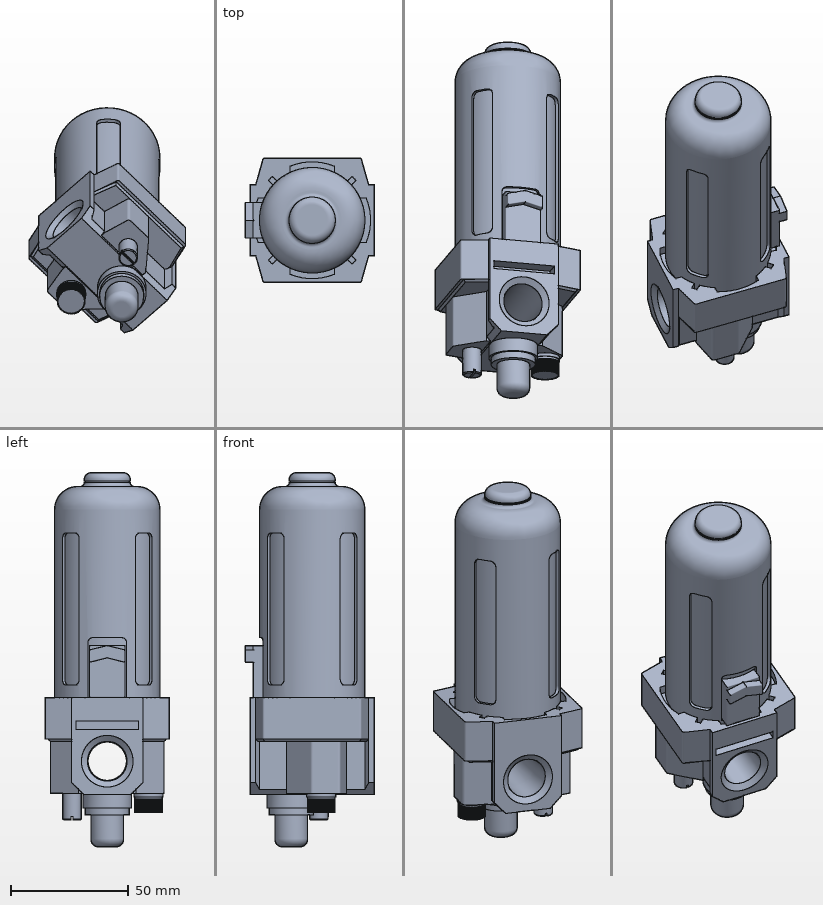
import cadquery as cq
import math


HOUSING_HEIGHT = 41.4
HOUSING_HALF_LENGTH = 26.5
FLANGE_BOTTOM = 23.6
FLANGE_HALF_DEPTH = 26.5
FLANGE_HALF_FLAT = 21.0
FLANGE_CORNER_RADIUS = 1.0
RIM_HEIGHT = 1.0
PORT_PLATE_HALF_WIDTH = 15.2
PORT_PLATE_INNER_X = 24.1
PORT_PLATE_CHAMFER = 5.1
WAIST_HALF_LENGTH = 22.5
WAIST_HALF_DEPTH = 12.3
BOSS_HALF_DEPTH = 24.3
BOSS_BOTTOM = 0.5
BOSS_ROOT_X = (-10.9, 14.7)
BOSS_TIP_X = (-0.2, 12.0)
BOSS_CORNER_RADIUS = 1.3
RIM_HALF_DEPTH = BOSS_HALF_DEPTH + RIM_HEIGHT

PORT_Z = 14.2
PORT_RADIUS = 8.1
PORT_THREAD_RADIUS = 8.5
PORT_THREAD_DEPTH = 16.0
PORT_MOUTH_RADIUS = 11.0
PORT_MOUTH_DEPTH = 1.9
GROOVE_Z = (27.8, 31.3)
GROOVE_HALF_WIDTH = 13.4
GROOVE_DEPTH = 7.2

GUARD_RADIUS = 22.5
GUARD_WALL = 1.5
BOWL_RADIUS = GUARD_RADIUS - GUARD_WALL
SOCKET_DEPTH = 4.0
SOCKET_FLOOR = HOUSING_HEIGHT - SOCKET_DEPTH
SHOULDER_Z = HOUSING_HEIGHT + 90.0
DOME_RADIUS = 9.9
NECK_RADIUS = 9.9
NECK_FLARE = 1.6
NECK_TOP = SHOULDER_Z + NECK_FLARE

LUG_POCKET_RADIUS = 24.9
LUG_POCKET_WIDTH = 18.8
NOTCH_RADIUS = 25.2
NOTCH_WIDTH = 2.4

WINDOW_WIDTH = 10.0
WINDOW_BOTTOM = HOUSING_HEIGHT + 5.3
WINDOW_TOP = HOUSING_HEIGHT + 70.3
WINDOW_CORNER_RADIUS = 2.5
OPENING_WIDTH = 16.5
OPENING_TOP = HOUSING_HEIGHT + 25.5
OPENING_CORNER_RADIUS = 2.0

LATCH_WIDTH = 15.3
LATCH_FACE_X = -25.2
LATCH_TOP = HOUSING_HEIGHT + 22.2
LIP_FACE_X = -28.6
LIP_HEIGHT = 5.3
LATCH_EDGE_RADIUS = 0.3
LIP_DROP = 1.9

BUTTON_TOP = HOUSING_HEIGHT + 96.0
BUTTON_FILLET = 3.2
BUTTON_STEM_RADIUS = 9.5
BUTTON_GAP = 0.6

SIGHT_X = -9.0
SIGHT_RADIUS = 7.0
SIGHT_BOTTOM = -22.4
SIGHT_FILLET = 3.4
COLLAR_RADIUS = 10.4
COLLAR_BOTTOM = -5.7
COLLAR_STEP_RADIUS = 9.5
COLLAR_STEP_BOTTOM = -8.6

PLUG_X = 3.8
PLUG_Y = -17.5
PLUG_RIM_RADIUS = 6.2
PLUG_RIM_BOTTOM = -1.0
PLUG_SEAT_RADIUS = 5.9
KNURL_TOP = -1.9
KNURL_BOTTOM = -7.7
KNURL_RADIUS = 5.9
KNURL_DEPTH = 0.3
KNURL_TEETH = 60

PIN_X = 2.9
PIN_Y = 15.0
PIN_RADIUS = 4.0
PIN_BOTTOM = -10.9
PIN_CHAMFER = 0.5
PIN_SLOT_WIDTH = 0.8
PIN_SLOT_DEPTH = 1.5


def cylinder(radius, bottom, top, x=0, y=0):
    """Vertical cylinder between two heights."""
    return cq.Workplane("XY", origin=(x, y, bottom)).circle(radius).extrude(top - bottom)


def span_box(x_span, y_span, z_span):
    """Box given by its limits along each axis."""
    size = [end - start for start, end in (x_span, y_span, z_span)]
    corner = (x_span[0], y_span[0], z_span[0])
    return cq.Workplane("XY", origin=corner).box(*size, centered=False)


def mirrored_outline(quarter):
    """Close an outline from its points in the +X +Y quarter, given from the X side to the Y side."""
    upper = quarter + [(-x, y) for x, y in reversed(quarter)]
    return upper + [(-x, -y) for x, y in upper]



def flange_sketch(half_depth, z):
    """Outline with slanted sides that run from the port plates to a flat front and back."""
    outline = mirrored_outline([
        (PORT_PLATE_INNER_X, PORT_PLATE_HALF_WIDTH),
        (FLANGE_HALF_FLAT, half_depth),
    ])
    return cq.Workplane("XY", origin=(0, 0, z)).polyline(outline).close()


def make_flange():
    """Wide flange that carries the bowl, with a thin 45 degree rim under it."""
    flange = flange_sketch(FLANGE_HALF_DEPTH, FLANGE_BOTTOM).extrude(HOUSING_HEIGHT - FLANGE_BOTTOM)
    flange = flange.faces(">Y or <Y").edges("|Z").fillet(FLANGE_CORNER_RADIUS)
    rim = flange_sketch(RIM_HALF_DEPTH, FLANGE_BOTTOM).extrude(-RIM_HEIGHT, taper=45)
    return flange.union(rim)


def make_waist():
    """Port plates at both ends joined by a narrower web, bevelled along the bottom."""
    outline = mirrored_outline([
        (HOUSING_HALF_LENGTH, PORT_PLATE_HALF_WIDTH),
        (PORT_PLATE_INNER_X, PORT_PLATE_HALF_WIDTH),
        (WAIST_HALF_LENGTH, WAIST_HALF_DEPTH),
    ])
    waist = cq.Workplane("XY").polyline(outline).close().extrude(HOUSING_HEIGHT)
    bevel_inner = PORT_PLATE_HALF_WIDTH - PORT_PLATE_CHAMFER
    envelope = (
        cq.Workplane("YZ", origin=(-HOUSING_HALF_LENGTH, 0, 0))
        .polyline([
            (-bevel_inner, 0),
            (bevel_inner, 0),
            (PORT_PLATE_HALF_WIDTH, PORT_PLATE_CHAMFER),
            (PORT_PLATE_HALF_WIDTH, HOUSING_HEIGHT),
            (-PORT_PLATE_HALF_WIDTH, HOUSING_HEIGHT),
            (-PORT_PLATE_HALF_WIDTH, PORT_PLATE_CHAMFER),
        ])
        .close()
        .extrude(2 * HOUSING_HALF_LENGTH)
    )
    return waist.intersect(envelope)


def make_bosses():
    """One tapered boss reaching out to the front and to the back."""
    outline = [
        (BOSS_ROOT_X[0], WAIST_HALF_DEPTH),
        (BOSS_TIP_X[0], BOSS_HALF_DEPTH),
        (BOSS_TIP_X[1], BOSS_HALF_DEPTH),
        (BOSS_ROOT_X[1], WAIST_HALF_DEPTH),
    ]
    outline += [(x, -y) for x, y in reversed(outline)]
    base = cq.Workplane("XY", origin=(0, 0, BOSS_BOTTOM))
    bosses = base.polyline(outline).close().extrude(FLANGE_BOTTOM - BOSS_BOTTOM)
    return bosses.faces(">Y or <Y").edges("|Z").fillet(BOSS_CORNER_RADIUS)


def make_port():
    """Through port along X; each end has a conical mouth and a tapered thread bore."""
    left_half = [
        (-HOUSING_HALF_LENGTH, 0),
        (-HOUSING_HALF_LENGTH, PORT_MOUTH_RADIUS),
        (-HOUSING_HALF_LENGTH + PORT_MOUTH_DEPTH, PORT_THREAD_RADIUS),
        (-HOUSING_HALF_LENGTH + PORT_THREAD_DEPTH, PORT_RADIUS),
    ]
    right_half = [(-x, radius) for x, radius in reversed(left_half)]
    bore = cq.Workplane("XZ").polyline(left_half + right_half).close()
    return bore.revolve(360, (0, 0, 0), (1, 0, 0)).translate((0, 0, PORT_Z))


def make_bowl_socket():
    """Round socket for the guard, with four lug pockets and four small notches."""
    socket = cylinder(GUARD_RADIUS, SOCKET_FLOOR, HOUSING_HEIGHT)
    base = cq.Workplane("XY", origin=(0, 0, SOCKET_FLOOR))
    lug_bar = base.rect(2 * HOUSING_HALF_LENGTH, LUG_POCKET_WIDTH).extrude(SOCKET_DEPTH)
    lug_pair = lug_bar.intersect(cylinder(LUG_POCKET_RADIUS, SOCKET_FLOOR, HOUSING_HEIGHT))
    notch_pair = base.rect(2 * NOTCH_RADIUS, NOTCH_WIDTH).extrude(SOCKET_DEPTH)
    for turn in (0, 90):
        socket = socket.union(lug_pair.rotate((0, 0, 0), (0, 0, 1), turn))
        socket = socket.union(notch_pair.rotate((0, 0, 0), (0, 0, 1), turn + 45))
    return socket


def make_housing():
    """Flange, waist and bosses in one solid, with the ports, label groove and bowl socket cut in."""
    groove = span_box(
        (-HOUSING_HALF_LENGTH, -HOUSING_HALF_LENGTH + GROOVE_DEPTH),
        (-GROOVE_HALF_WIDTH, GROOVE_HALF_WIDTH),
        GROOVE_Z,
    )
    solid = make_flange().union(make_waist()).union(make_bosses())
    return solid.cut(make_port()).cut(groove).cut(make_bowl_socket())



def domed_cylinder(radius, top, dome_radius):
    """Cylinder standing on the socket floor, with its top edge rounded."""
    return cylinder(radius, SOCKET_FLOOR, top).faces(">Z").edges().fillet(dome_radius)


def make_bowl():
    """Inner bowl that fills the guard and shows through its windows."""
    return domed_cylinder(BOWL_RADIUS, SHOULDER_Z - GUARD_WALL, DOME_RADIUS - GUARD_WALL)


def make_neck():
    """Short neck on the dome, flared by a concave quarter arc at its foot."""
    bottom = SHOULDER_Z - GUARD_WALL
    foot_radius = NECK_RADIUS + NECK_FLARE
    mid_offset = NECK_FLARE * (1 - math.sqrt(0.5))
    return (
        cq.Workplane("XZ")
        .moveTo(0, bottom)
        .lineTo(foot_radius, bottom)
        .lineTo(foot_radius, SHOULDER_Z)
        .threePointArc((NECK_RADIUS + mid_offset, SHOULDER_Z + mid_offset), (NECK_RADIUS, NECK_TOP))
        .lineTo(0, NECK_TOP)
        .close()
        .revolve(360, (0, 0, 0), (0, 1, 0))
    )


def make_window(width, bottom, top):
    """Radial cutter on the -X side, spanning the guard wall."""
    return span_box((-2 * GUARD_RADIUS, 0), (-width / 2, width / 2), (bottom, top))


def make_guard():
    """Thin domed shell with four windows, a latch opening and a neck for the button."""
    guard = domed_cylinder(GUARD_RADIUS, SHOULDER_Z, DOME_RADIUS).union(make_neck())
    window = make_window(WINDOW_WIDTH, WINDOW_BOTTOM, WINDOW_TOP).edges("|X").fillet(WINDOW_CORNER_RADIUS)
    for quarter in range(4):
        guard = guard.cut(window.rotate((0, 0, 0), (0, 0, 1), 45 + 90 * quarter))
    opening = make_window(OPENING_WIDTH, HOUSING_HEIGHT, OPENING_TOP)
    guard = guard.cut(opening.faces(">Z").edges("|X").fillet(OPENING_CORNER_RADIUS))
    stem_hole = cylinder(BUTTON_STEM_RADIUS, SHOULDER_Z - GUARD_WALL, NECK_TOP)
    return guard.cut(stem_hole).cut(make_bowl())


def make_button():
    """Drain button: a round head on a stem that passes through the neck."""
    stem = cylinder(BUTTON_STEM_RADIUS, SHOULDER_Z - GUARD_WALL, BUTTON_TOP - BUTTON_FILLET)
    head = cylinder(NECK_RADIUS, NECK_TOP + BUTTON_GAP, BUTTON_TOP).faces(">Z").edges().fillet(BUTTON_FILLET)
    return stem.union(head)



def make_latch():
    """Upright tab hollowed to fit the bowl, with a chevron-shaped finger lip near its top."""
    half_width = LATCH_WIDTH / 2
    tab = span_box((LATCH_FACE_X, 0), (-half_width, half_width), (HOUSING_HEIGHT, LATCH_TOP))
    tab = tab.faces("<X").edges().fillet(LATCH_EDGE_RADIUS)
    lip = (
        cq.Workplane("YZ", origin=(LIP_FACE_X, 0, 0))
        .polyline([
            (0, LATCH_TOP),
            (half_width, LATCH_TOP - LIP_DROP),
            (half_width, LATCH_TOP - LIP_DROP - LIP_HEIGHT),
            (0, LATCH_TOP - LIP_HEIGHT),
            (-half_width, LATCH_TOP - LIP_DROP - LIP_HEIGHT),
            (-half_width, LATCH_TOP - LIP_DROP),
        ])
        .close()
        .extrude(LATCH_FACE_X + LATCH_EDGE_RADIUS - LIP_FACE_X)
    )
    lip = lip.faces("<X").edges().fillet(LATCH_EDGE_RADIUS)
    return tab.union(lip).cut(cylinder(BOWL_RADIUS, HOUSING_HEIGHT, LATCH_TOP))



def make_sight_dome():
    """Round-ended sight dome with a stepped collar."""
    dome = cylinder(SIGHT_RADIUS, SIGHT_BOTTOM, 0, SIGHT_X).faces("<Z").edges().fillet(SIGHT_FILLET)
    collar = cylinder(COLLAR_RADIUS, COLLAR_BOTTOM, 0, SIGHT_X)
    collar_step = cylinder(COLLAR_STEP_RADIUS, COLLAR_STEP_BOTTOM, 0, SIGHT_X)
    return dome.union(collar).union(collar_step)


def make_plug():
    """Filler plug: a plain rim, a narrow seat and a knurled grip."""
    rim = cylinder(PLUG_RIM_RADIUS, PLUG_RIM_BOTTOM, BOSS_BOTTOM, PLUG_X, PLUG_Y)
    seat = cylinder(PLUG_SEAT_RADIUS, KNURL_TOP, BOSS_BOTTOM, PLUG_X, PLUG_Y)
    outline = []
    for step in range(2 * KNURL_TEETH):
        angle = math.pi * step / KNURL_TEETH
        radius = KNURL_RADIUS - KNURL_DEPTH * (step % 2)
        outline.append((radius * math.cos(angle), radius * math.sin(angle)))
    grip = (
        cq.Workplane("XY", origin=(PLUG_X, PLUG_Y, KNURL_BOTTOM))
        .polyline(outline)
        .close()
        .extrude(KNURL_TOP - KNURL_BOTTOM)
    )
    return rim.union(seat).union(grip)


def make_pin():
    """Adjusting pin with a bevelled end and a screwdriver slot along X."""
    pin = cylinder(PIN_RADIUS, PIN_BOTTOM, BOSS_BOTTOM, PIN_X, PIN_Y)
    pin = pin.faces("<Z").edges().chamfer(PIN_CHAMFER)
    slot = span_box(
        (PIN_X - PIN_RADIUS, PIN_X + PIN_RADIUS),
        (PIN_Y - PIN_SLOT_WIDTH / 2, PIN_Y + PIN_SLOT_WIDTH / 2),
        (PIN_BOTTOM, PIN_BOTTOM + PIN_SLOT_DEPTH),
    )
    return pin.cut(slot)


housing = make_housing()
bowl = make_bowl()
guard = make_guard()
button = make_button()
latch = make_latch()
sight_dome = make_sight_dome()
plug = make_plug()
pin = make_pin()

result = cq.Compound.makeCompound([
    housing.val(),
    bowl.val(),
    guard.val(),
    button.val(),
    latch.val(),
    sight_dome.val(),
    plug.val(),
    pin.val(),
])